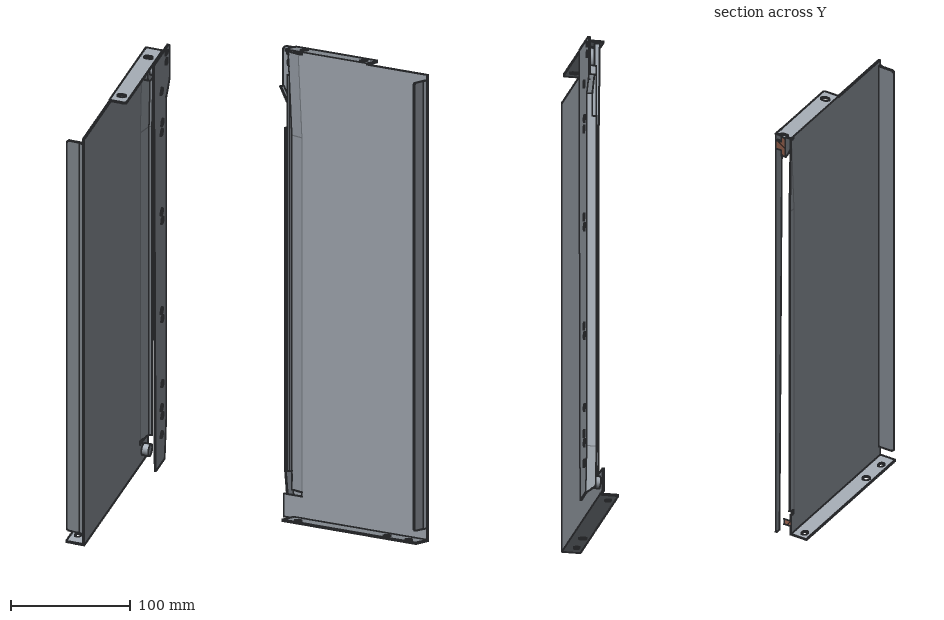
import cadquery as cq

panel_sheet = 1.4
rail_sheet = 1.2

panel_back_x = 16.0
panel_front_x = panel_back_x - panel_sheet
panel_bottom_z = 2.5
panel_top_z = 400.8
overall_height = 402.0

lip_bottom_z = 13.3
lip_top_z = 396.0
lip_corner_chamfer = 1.5
lip_setback_y = 1.2
lip_joggle_x = 11.3
lip_inner_y = lip_setback_y + panel_sheet

strip_start_y = 136.5
strip_end_y = 150.5
strip_end_x = 18.0
return_end_x = 22.0
strip_bottom_z = 25.7
fold_top_z = 399.5
taper_start_z = 329.0
taper_shift_y = 4.0
panel_overlap_y = 120.5

tab_rear_y = 156.5
tab_top_z = 22.0
stud_y = 144.7
stud_z = 13.5
stud_radius = 5.2

bottom_flange_rear_y = 145.5
bottom_hole_x = 6.0
bottom_slot_ys = (12.5, 133.0)
bottom_slot_length = 6.5
bottom_slot_width = 5.0
bottom_round_hole_y = 36.0
bottom_round_hole_diameter = 6.5
top_flange_front_y = 65.5
top_flange_rear_y = 154.8
top_flange_corner_radius = 1.5
top_slot_x = 22.0
top_slot_ys = (75.0, 140.3)
top_slot_length = 7.5
top_slot_width = 5.2

rail_outer_x = 30.5
rail_inner_x = rail_outer_x - rail_sheet
rail_front_bottom_y = 135.5
rail_front_top_y = 131.5
rail_foot_rear_y = 157.0
rail_foot_top_z = 39.8
rail_rear_y = 161.2
ear_slope_bottom_z = 352.5
ear_slope_top_z = 366.5
ear_rear_y = 169.5
ear_corner_radius = 4.0
ear_hole_y = 162.0
ear_slot_z = 395.5
ear_slot_length = 7.0
ear_slot_width = 3.2
ear_hole_z = 387.0
ear_hole_diameter = 6.0

rear_flange_x = 22.0
rear_flange_top_z = 333.0
slope_flange_x = 25.7
inner_flange_front_y = 156.5
inner_flange_rear_y = 158.8
inner_flange_bottom_z = rail_foot_top_z
inner_flange_top_z = 378.3
foot_cut_height = 5.5

large_hole_y = 151.5
large_hole_diameter = 6.5
large_hole_zs = (45.5, 76.8, 140.5, 237.0, 333.3)
small_hole_y = 150.0
small_hole_diameter = 6.5
small_hole_zs = (27.7, 54.3, 149.5, 246.5, 324.5, 364.5)

roller_y = 140.3
roller_z = 390.5
roller_radius = 9.5
roller_start_x = 20.5
roller_end_x = 25.0
axle_radius = 4.5


def box(x0, x1, y0, y1, z0, z1):
    return cq.Workplane("XY").box(x1 - x0, y1 - y0, z1 - z0, centered=False).translate((x0, y0, z0))


def x_cylinder(x0, x1, y, z, radius):
    return cq.Workplane("YZ", origin=(x0, y, z)).circle(radius).extrude(x1 - x0)


def rear_fold_profile(z, shift):
    """Section of the rear fold at height z, moved back by shift."""
    fold_y = strip_start_y + shift
    end_y = strip_end_y + shift
    return (
        cq.Workplane("XY", origin=(0, 0, z))
        .polyline([
            (panel_front_x, panel_overlap_y),
            (panel_front_x, fold_y),
            (strip_end_x, end_y),
            (return_end_x, end_y),
            (return_end_x, end_y - panel_sheet),
            (strip_end_x + panel_sheet, end_y - panel_sheet),
            (panel_back_x, fold_y),
            (panel_back_x, panel_overlap_y),
        ])
        .close()
    )


def make_rear_fold():
    straight = rear_fold_profile(strip_bottom_z, 0).extrude(taper_start_z - strip_bottom_z)
    lower = rear_fold_profile(taper_start_z, 0).wires().val()
    upper = rear_fold_profile(fold_top_z, taper_shift_y).wires().val()
    tapered = cq.Workplane(obj=cq.Solid.makeLoft([lower, upper], True))
    return straight.union(tapered)


def make_front_lip():
    """Lip set back from the panel's front edge and joined to it by a slanted stretch."""
    lip = (
        cq.Workplane("XY", origin=(0, 0, lip_bottom_z))
        .polyline([
            (0, lip_setback_y),
            (lip_joggle_x, lip_setback_y),
            (panel_front_x, 0),
            (panel_back_x, 0),
            (panel_back_x, lip_inner_y),
            (0, lip_inner_y),
        ])
        .close()
        .extrude(lip_top_z - lip_bottom_z)
    )
    return lip.faces("<X").edges("|Y").chamfer(lip_corner_chamfer)


def make_bottom_flange():
    flange = box(0, panel_back_x, 0, bottom_flange_rear_y, panel_bottom_z, panel_bottom_z + panel_sheet)
    slots = (
        cq.Workplane("XY")
        .pushPoints([(bottom_hole_x, y) for y in bottom_slot_ys])
        .slot2D(bottom_slot_length, bottom_slot_width, 90)
        .extrude(overall_height)
    )
    round_hole = (
        cq.Workplane("XY")
        .center(bottom_hole_x, bottom_round_hole_y)
        .circle(bottom_round_hole_diameter / 2)
        .extrude(overall_height)
    )
    return flange.cut(slots).cut(round_hole)


def make_top_flange():
    flange = box(
        panel_front_x, rail_inner_x,
        top_flange_front_y, top_flange_rear_y,
        overall_height - panel_sheet, overall_height,
    )
    flange = flange.edges("|Z and >X and <Y").fillet(top_flange_corner_radius)
    slots = (
        cq.Workplane("XY")
        .pushPoints([(top_slot_x, y) for y in top_slot_ys])
        .slot2D(top_slot_length, top_slot_width)
        .extrude(2 * overall_height)
    )
    return flange.cut(slots)


def make_panel():
    sheet = box(panel_front_x, panel_back_x, 0, strip_start_y, panel_bottom_z, panel_top_z)
    tab = box(panel_front_x, panel_back_x, panel_overlap_y, tab_rear_y, panel_bottom_z, tab_top_z)
    stud = x_cylinder(panel_back_x, return_end_x, stud_y, stud_z, stud_radius)
    body = sheet.union(make_front_lip()).union(make_rear_fold()).union(tab).union(stud)
    return body.union(make_bottom_flange()).union(make_top_flange())


def make_rail_web():
    web = (
        cq.Workplane("YZ", origin=(rail_inner_x, 0, 0))
        .polyline([
            (rail_front_bottom_y, 0),
            (rail_foot_rear_y, 0),
            (rail_rear_y, rail_foot_top_z),
            (rail_rear_y, ear_slope_bottom_z),
            (ear_rear_y, ear_slope_top_z),
            (ear_rear_y, panel_top_z),
            (rail_front_top_y, panel_top_z),
        ])
        .close()
        .extrude(rail_sheet)
    )
    return web.edges("|X and >Y and >Z").fillet(ear_corner_radius)


def make_rail_holes():
    holes = (
        cq.Workplane("YZ")
        .pushPoints([(large_hole_y, z) for z in large_hole_zs])
        .circle(large_hole_diameter / 2)
        .extrude(rail_outer_x)
    )
    small_holes = (
        cq.Workplane("YZ")
        .pushPoints([(small_hole_y, z) for z in small_hole_zs])
        .circle(small_hole_diameter / 2)
        .extrude(rail_outer_x)
    )
    ear_slot = (
        cq.Workplane("YZ")
        .center(ear_hole_y, ear_slot_z)
        .slot2D(ear_slot_length, ear_slot_width)
        .extrude(rail_outer_x)
    )
    ear_hole = x_cylinder(0, rail_outer_x, ear_hole_y, ear_hole_z, ear_hole_diameter / 2)
    return holes.union(small_holes).union(ear_slot).union(ear_hole)


def edge_flange(start_x, path):
    """Flange of sheet thickness inside a rear edge path of (y, z) points."""
    inner = [(y - rail_sheet, z) for y, z in reversed(path)]
    return (
        cq.Workplane("YZ", origin=(start_x, 0, 0))
        .polyline(path + inner)
        .close()
        .extrude(rail_outer_x - start_x)
    )


def make_rail_flanges():
    foot = (rail_foot_rear_y, 0)
    foot_top = (rail_rear_y, rail_foot_top_z)
    wide_top = (rail_rear_y, rear_flange_top_z)
    slope_bottom = (rail_rear_y, ear_slope_bottom_z)
    slope_top = (ear_rear_y, ear_slope_top_z)
    foot_cut = (
        cq.Workplane("XZ")
        .polyline([(rear_flange_x, 0), (rail_inner_x, 0), (rear_flange_x, foot_cut_height)])
        .close()
        .extrude(-ear_rear_y)
    )
    rear_flange = edge_flange(rear_flange_x, [foot, foot_top, wide_top]).cut(foot_cut)
    slope_flange = edge_flange(slope_flange_x, [wide_top, slope_bottom, slope_top])
    inner_flange = box(
        rear_flange_x, rail_outer_x,
        inner_flange_front_y, inner_flange_rear_y,
        inner_flange_bottom_z, inner_flange_top_z,
    )
    return rear_flange.union(slope_flange).union(inner_flange)


def make_rail():
    roller = x_cylinder(roller_start_x, roller_end_x, roller_y, roller_z, roller_radius)
    axle = x_cylinder(roller_end_x, rail_inner_x, roller_y, roller_z, axle_radius)
    body = make_rail_web().cut(make_rail_holes()).union(make_rail_flanges())
    return body.union(axle).union(roller)


panel = make_panel()
rail = make_rail()

result = cq.Compound.makeCompound([panel.solids().val(), rail.solids().val()])